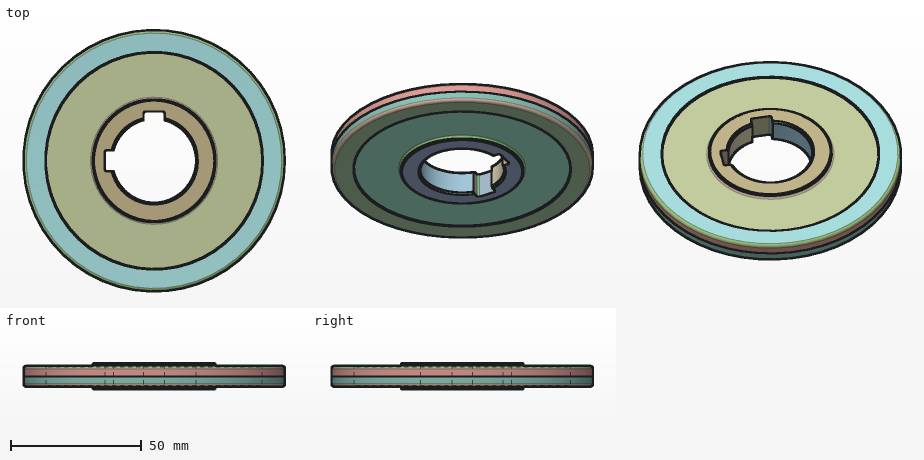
import cadquery as cq
import math

outer_radius = 100 / 2
hub_length = 10.0
hub_radius = 47 / 2
bore_radius = 32 / 2

hub_chamfer = 0.5
bore_chamfer = 0.7
flare_radius = 0.8
web_thickness = 7.0
key_width = 8.0
key_reach = 18.8
key_corner_radius = 0.8
key_angles = (90, 180)

ring_inner_radius = 41.3
ring_step_width = 0.3
ring_step_height = 0.3
ring_edge_radius = 1.2
ring_blend_radius = 97.52 / 2

hub_top = hub_length / 2
web_top = web_thickness / 2
flare_outer_radius = hub_radius + flare_radius
flare_mid = flare_radius * (1 - math.sqrt(0.5))
round_center_radius = outer_radius - ring_edge_radius
face_slope = math.asin((round_center_radius - ring_blend_radius) / ring_edge_radius)
face_inner_radius = ring_inner_radius + ring_step_width
face_inner_top = web_top + ring_step_height
ring_blend_top = face_inner_top + (ring_blend_radius - face_inner_radius) * math.tan(face_slope)
round_center_top = ring_blend_top - ring_edge_radius * math.cos(face_slope)
round_mid_angle = (math.pi / 2 + face_slope) / 2
round_mid = (
    round_center_radius + ring_edge_radius * math.cos(round_mid_angle),
    round_center_top + ring_edge_radius * math.sin(round_mid_angle),
)


def revolve_profile(profile):
    """Close a (radius, Z) profile and revolve it a full turn about Z."""
    return profile.close().revolve(360, (0, 0, 0), (0, 1, 0))


def make_keyway(angle):
    """Through-cutter for one keyway, pointing outward from the axis at the given angle."""
    cutter = cq.Workplane("XY").box(key_reach, key_width, hub_length, centered=(False, True, True))
    return cutter.edges("|Z and >X").fillet(key_corner_radius).rotate((0, 0, 0), (0, 0, 1), angle)


def make_core():
    """Web disc with a raised, chamfered hub on both sides and two keyways in the bore."""
    upper_half = revolve_profile(
        cq.Workplane("XZ")
        .moveTo(bore_radius, 0)
        .lineTo(bore_radius, hub_top - bore_chamfer)
        .lineTo(bore_radius + bore_chamfer, hub_top)
        .lineTo(hub_radius - hub_chamfer, hub_top)
        .lineTo(hub_radius, hub_top - hub_chamfer)
        .lineTo(hub_radius, web_top + flare_radius)
        .threePointArc((hub_radius + flare_mid, web_top + flare_mid), (flare_outer_radius, web_top))
        .lineTo(ring_inner_radius, web_top)
        .lineTo(ring_inner_radius, 0)
    )
    core_body = upper_half.union(upper_half.mirror("XY")).clean()
    for angle in key_angles:
        core_body = core_body.cut(make_keyway(angle))
    return core_body


def make_upper_ring():
    """Ring above the mid-plane whose face rises gently outward to a rounded edge."""
    return revolve_profile(
        cq.Workplane("XZ")
        .moveTo(ring_inner_radius, 0)
        .lineTo(ring_inner_radius, web_top)
        .lineTo(face_inner_radius, face_inner_top)
        .lineTo(ring_blend_radius, ring_blend_top)
        .threePointArc(round_mid, (outer_radius, round_center_top))
        .lineTo(outer_radius, 0)
    )


core = make_core()
upper_ring = make_upper_ring()
lower_ring = upper_ring.mirror("XY")

result = cq.Compound.makeCompound([core.val(), upper_ring.val(), lower_ring.val()])